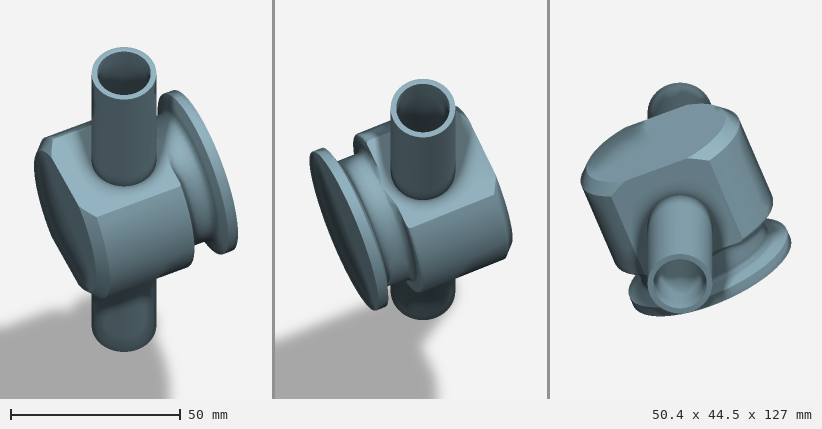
import cadquery as cq
import math

TUBE_LENGTH = 126.97
TUBE_OUTER_DIAMETER = 19.05
TUBE_BORE_DIAMETER = 15.75

BODY_DIAMETER = 50.39
OVERALL_DEPTH = 44.45
FRONT_FACE_Y = -19.05
FERRULE_FACE_Y = FRONT_FACE_Y + OVERALL_DEPTH
NECK_DIAMETER = 39.7
SHOULDER_Y = 11.6

FLAT_TO_FLAT = NECK_DIAMETER

FRONT_CHAMFER = 3.1
SHOULDER_EDGE_RADIUS = 0.79
NECK_FILLET_RADIUS = 1.59
FERRULE_RIM_THICKNESS = 3.1
FERRULE_TAPER_DEGREES = 20.0

BODY_RADIUS = BODY_DIAMETER / 2
NECK_RADIUS = NECK_DIAMETER / 2


def arc_middle(center, radius, start_degrees, end_degrees):
    """Point halfway along an arc, with angles measured from the radial direction."""
    angle = math.radians((start_degrees + end_degrees) / 2)
    return (
        center[0] + radius * math.cos(angle),
        center[1] + radius * math.sin(angle),
    )


def make_turned_body():
    """Chamfered body, filleted neck and tapered clamp ferrule as one revolved profile."""
    taper = math.radians(FERRULE_TAPER_DEGREES)
    fillet = NECK_FILLET_RADIUS
    edge = SHOULDER_EDGE_RADIUS

    edge_center = (BODY_RADIUS - edge, SHOULDER_Y - edge)
    fillet_radial = NECK_RADIUS + fillet
    shoulder_center = (fillet_radial, SHOULDER_Y + fillet)

    rim_back_y = FERRULE_FACE_Y - FERRULE_RIM_THICKNESS
    taper_line_y = rim_back_y - (BODY_RADIUS - fillet_radial) * math.tan(taper)
    ferrule_center = (fillet_radial, taper_line_y - fillet / math.cos(taper))
    taper_end_degrees = 90 + FERRULE_TAPER_DEGREES
    taper_end = (
        ferrule_center[0] - fillet * math.sin(taper),
        ferrule_center[1] + fillet * math.cos(taper),
    )

    profile = (
        cq.Workplane("XY")
        .moveTo(0, FRONT_FACE_Y)
        .lineTo(BODY_RADIUS - FRONT_CHAMFER, FRONT_FACE_Y)
        .lineTo(BODY_RADIUS, FRONT_FACE_Y + FRONT_CHAMFER)
        .lineTo(BODY_RADIUS, edge_center[1])
        .threePointArc(arc_middle(edge_center, edge, 0, 90), (edge_center[0], SHOULDER_Y))
        .lineTo(fillet_radial, SHOULDER_Y)
        .threePointArc(
            arc_middle(shoulder_center, fillet, 180, 270),
            (NECK_RADIUS, shoulder_center[1]),
        )
        .lineTo(NECK_RADIUS, ferrule_center[1])
        .threePointArc(
            arc_middle(ferrule_center, fillet, taper_end_degrees, 180),
            taper_end,
        )
        .lineTo(BODY_RADIUS, rim_back_y)
        .lineTo(BODY_RADIUS, FERRULE_FACE_Y)
        .lineTo(0, FERRULE_FACE_Y)
        .close()
    )
    return profile.revolve(360, (0, 0, 0), (0, 1, 0))


def cut_flats(body):
    """Trim the top and bottom of the body flat, from the front face to the neck fillet."""
    flat_end_y = SHOULDER_Y + NECK_FILLET_RADIUS
    flat_depth = flat_end_y - FRONT_FACE_Y
    block_height = BODY_DIAMETER - FLAT_TO_FLAT
    for side in (-1, 1):
        block = cq.Workplane("XY").box(BODY_DIAMETER, flat_depth, block_height).translate(
            (0, FRONT_FACE_Y + flat_depth / 2, side * (FLAT_TO_FLAT + block_height) / 2)
        )
        body = body.cut(block)
    return body


def tube_length_cylinder(diameter):
    """Cylinder along Z over the full tube length, centred on the origin."""
    return cq.Workplane("XY").circle(diameter / 2).extrude(TUBE_LENGTH / 2, both=True)


flattened_body = cut_flats(make_turned_body())
body_with_tube = flattened_body.union(tube_length_cylinder(TUBE_OUTER_DIAMETER))
result = body_with_tube.cut(tube_length_cylinder(TUBE_BORE_DIAMETER))